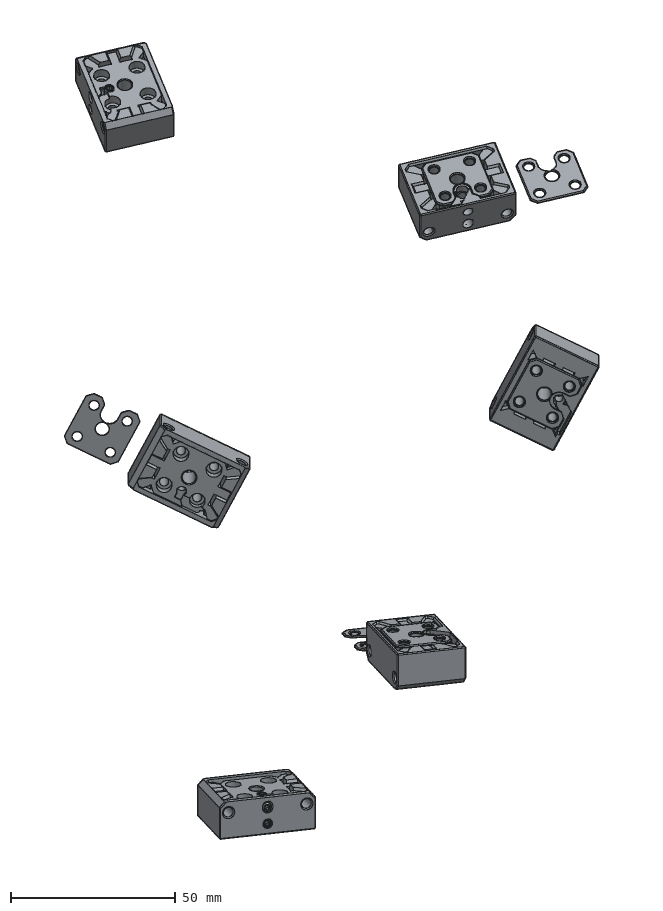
import cadquery as cq
import math

BLOCK_LENGTH = 30.8
BLOCK_WIDTH = 22.0
BLOCK_HEIGHT = 12.0
END_CHAMFER = 1.7
EDGE_CHAMFER = 0.35

RECESS_LENGTH = 27.2
RECESS_WIDTH = 18.8
RECESS_CORNER = 1.2
BOTTOM_RECESS_FLARE = 0.5
PETAL_FLARE = 0.6
TOP_RECESS_DEPTH = 0.9

PETAL_INNER_X = 10.1
RIB_HALF_WIDTH = 1.35
PETAL_SHOULDER_Y = 5.3
PETAL_ROOT_Y = 7.9

CORE_HALF = 9.2
CORE_CORNER = 1.8
CORNER_SLIT_WIDTH = 0.6
CORNER_POCKET_REACH = 11.0
CORNER_POCKET_DEPTH = 3.0

SCREW_PITCH = 11.3
SCREW_CLEARANCE = 2.8
COUNTERBORE_DIAMETER = 4.8
COUNTERBORE_DEPTH = 4.0
CENTRE_DIAMETER = 4.2
HOLE_CHAMFER = 0.3
ROD_DIAMETER = 3.1
ROD_CHAMFER = 0.4
ROD_SPACING = 25.0
ROD_Z = -3.5

BORE_Y = -5.0
BORE_DIAMETER = 2.5
GRUB_DIAMETER = 3.0
GRUB_LENGTH = 3.0
GRUB_SOCKET = 1.4
GRUB_SOCKET_DEPTH = 1.5
GRUB_CHAMFER = 0.4
GRUB_INSET = 0.5
UPPER_HOLE_DIAMETER = 3.25
UPPER_HOLE_RISE = 0.5
UPPER_GRUB_Z = -3.5
LOWER_GRUB_Z = -8.5
LOWER_HOLE_DEPTH = 4.0

TOP_CHANNEL_DEPTH = 1.8
TOP_CHANNEL_SIDE_Y = -5.9
TOP_CHANNEL_BAY_HALF_WIDTH = 1.0
TOP_CHANNEL_BAY_Y = -7.7
TOP_CHANNEL_FLANK_X = 2.4

CHANNEL_WIDTH = 3.5
CHANNEL_ANGLE = 37.5
CHANNEL_DEPTH = 2.5
CHANNEL_WALL_Y = -10.2
CHANNEL_INNER_Y = -8.4
CHANNEL_END_X = 9.8
CHANNEL_EXIT_X = 8.0

PLATE_LENGTH = 2 * CORE_HALF
PLATE_WIDTH = 18.1
PLATE_THICKNESS = 0.6
PLATE_CHAMFER = 0.35
PLATE_HOLE_DIAMETER = 3.1
NOTCH_WIDTH = 5.7
ISLAND_CLEARANCE = 0.3

SECOND_BLOCK_POSITION = (77.54, 81.85, 0)
LOOSE_PLATE_POSITION = (75.3, 112.7, PLATE_THICKNESS)

SCREW_POINTS = [(x * SCREW_PITCH / 2, y * SCREW_PITCH / 2) for x in (-1, 1) for y in (-1, 1)]
QUADRANTS = [(x, y) for x in (-1, 1) for y in (-1, 1)]


def octagon(length, width, corner):
    """Corner points of a rectangle whose four corners are cut at 45 degrees."""
    x, y = length / 2, width / 2
    return [
        (x - corner, y), (x, y - corner), (x, corner - y), (x - corner, -y),
        (corner - x, -y), (-x, corner - y), (-x, y - corner), (corner - x, y),
    ]


def prism(points, depth, top=0.0):
    """Straight-sided solid reaching down from the given height."""
    return cq.Workplane("XY", origin=(0, 0, top)).polyline(points).close().extrude(-depth)


def frustum(lower, upper, depth):
    """Solid between an outline at -depth and a matching outline at Z = 0."""
    wires = [
        cq.Wire.makePolygon([cq.Vector(x, y, z) for x, y in points], close=True)
        for points, z in ((lower, -depth), (upper, 0))
    ]
    return cq.Workplane(cq.Solid.makeLoft(wires, True))


def drill(points, diameter, depth, top=0.0):
    return cq.Workplane("XY", origin=(0, 0, top)).pushPoints(points).circle(diameter / 2).extrude(-depth)


def countersink(points, diameter, chamfer):
    """Chamfer cutter for holes that open at Z = 0."""
    cone = cq.Solid.makeCone(diameter / 2, diameter / 2 + chamfer, chamfer, cq.Vector(0, 0, -chamfer))
    return cq.Workplane("XY").pushPoints(points).eachpoint(lambda place: cone.moved(place))


def notch(clearance, mouth_y):
    """Round-nosed notch around the bore that flares at the plate edge and runs out to mouth_y."""
    half = NOTCH_WIDTH / 2 - clearance
    flare_y = CORE_CORNER - PLATE_WIDTH / 2
    edge_half = half + CORE_CORNER
    return (
        cq.Workplane("XY")
        .moveTo(-half, BORE_Y)
        .threePointArc((0, BORE_Y + half), (half, BORE_Y))
        .lineTo(half, flare_y)
        .lineTo(edge_half, -PLATE_WIDTH / 2)
        .lineTo(edge_half, mouth_y)
        .lineTo(-edge_half, mouth_y)
        .lineTo(-edge_half, -PLATE_WIDTH / 2)
        .lineTo(-half, flare_y)
        .close()
    )


def petal(side_x, side_y, depth):
    """One petal with leaning sides; its root reaches into the end wall."""
    root = RECESS_LENGTH / 2 + PETAL_FLARE

    def outline(inset):
        points = [
            (root, RIB_HALF_WIDTH + inset),
            (PETAL_INNER_X, RIB_HALF_WIDTH + inset),
            (PETAL_INNER_X, PETAL_SHOULDER_Y - inset),
            (root, PETAL_ROOT_Y - inset),
        ]
        return [(side_x * x, side_y * y) for x, y in points]

    return frustum(outline(0), outline(PETAL_FLARE), depth)


def recess(depth, flare):
    """Recess cutter from Z = 0 down to the given depth, with its petals left out."""
    floor = octagon(RECESS_LENGTH, RECESS_WIDTH, RECESS_CORNER)
    rim = octagon(RECESS_LENGTH + 2 * flare, RECESS_WIDTH + 2 * flare, RECESS_CORNER + flare)
    cutter = frustum(floor, rim, depth)
    for side_x, side_y in QUADRANTS:
        cutter = cutter.cut(petal(side_x, side_y, depth))
    return cutter


def cut_slits(body):
    """Slits around the core: one behind each petal and one at each corner, between triangular pockets."""
    edge_y = RECESS_WIDTH / 2
    cut_x = CORE_HALF - CORE_CORNER
    slit_step = CORNER_SLIT_WIDTH * math.sqrt(2)
    bottom_pocket_z = CORNER_POCKET_DEPTH - BLOCK_HEIGHT
    for side_x, side_y in QUADRANTS:
        behind_petal = [
            (CORE_HALF, RIB_HALF_WIDTH), (PETAL_INNER_X, RIB_HALF_WIDTH),
            (PETAL_INNER_X, PETAL_SHOULDER_Y), (CORE_HALF, PETAL_SHOULDER_Y),
        ]
        corner_slit = [
            (CORE_HALF, cut_x), (CORE_HALF, cut_x + slit_step),
            (cut_x + slit_step, edge_y), (cut_x, edge_y),
        ]
        pocket = [(CORE_HALF, cut_x), (CORNER_POCKET_REACH, edge_y), (cut_x, edge_y)]
        for points, depth, top in (
            (behind_petal, BLOCK_HEIGHT, 0),
            (corner_slit, BLOCK_HEIGHT, 0),
            (pocket, CORNER_POCKET_DEPTH, 0),
            (pocket, CORNER_POCKET_DEPTH, bottom_pocket_z),
        ):
            points = [(side_x * x, side_y * y) for x, y in points]
            body = body.cut(prism(points, depth, top))
    return body


def top_channel():
    """Wire channel from the bore to a corner pocket, between two screw counterbores."""
    edge_y = -RECESS_WIDTH / 2
    cut_x = CORE_HALF - CORE_CORNER
    bay = TOP_CHANNEL_BAY_HALF_WIDTH
    return prism([
        (-bay, TOP_CHANNEL_SIDE_Y), (SCREW_PITCH / 2, TOP_CHANNEL_SIDE_Y),
        (CORE_HALF, -cut_x), (CHANNEL_END_X, edge_y),
        (TOP_CHANNEL_FLANK_X, edge_y), (bay, TOP_CHANNEL_BAY_Y), (-bay, TOP_CHANNEL_BAY_Y),
    ], TOP_CHANNEL_DEPTH)


def bottom_channel():
    """Wire channel from the bore slanting to the side wall, then along it to an exit through the block."""
    floor_z = CHANNEL_DEPTH - BLOCK_HEIGHT
    reach = BORE_Y - CHANNEL_WALL_Y
    end_x = reach * math.tan(math.radians(CHANNEL_ANGLE))
    half_mouth = CHANNEL_WIDTH / 2 / math.cos(math.radians(CHANNEL_ANGLE))
    slant = prism([
        (-half_mouth, BORE_Y), (half_mouth, BORE_Y),
        (end_x + half_mouth, CHANNEL_WALL_Y), (end_x - half_mouth, CHANNEL_WALL_Y),
    ], CHANNEL_DEPTH, floor_z)
    along_wall = prism([
        (end_x, CHANNEL_WALL_Y), (CHANNEL_END_X, CHANNEL_WALL_Y),
        (CHANNEL_END_X, CHANNEL_INNER_Y), (end_x, CHANNEL_INNER_Y),
    ], CHANNEL_DEPTH, floor_z)
    exit_y = -RECESS_WIDTH / 2
    wire_exit = prism([
        (CHANNEL_EXIT_X, exit_y), (CHANNEL_END_X, exit_y),
        (CHANNEL_END_X, CHANNEL_INNER_Y), (CHANNEL_EXIT_X, CHANNEL_INNER_Y),
    ], BLOCK_HEIGHT)
    start = drill([(0, BORE_Y)], CHANNEL_WIDTH, CHANNEL_DEPTH, floor_z)
    return slant.union(along_wall).union(start).union(wire_exit)


def front_hole(diameter, depth, z):
    """Round hole into the -Y side, on the centre line."""
    return cq.Workplane("XZ", origin=(0, -BLOCK_WIDTH / 2, z)).circle(diameter / 2).extrude(-depth)


def cut_rod_holes(body):
    """Two cross holes through the whole width, chamfered at both ends."""
    for side in (-1, 1):
        hole = drill([(0, 0)], ROD_DIAMETER, BLOCK_WIDTH)
        hole = hole.union(countersink([(0, 0)], ROD_DIAMETER, ROD_CHAMFER))
        far_end = hole.mirror("XY").translate((0, 0, -BLOCK_WIDTH))
        hole = hole.union(far_end).rotate((0, 0, 0), (1, 0, 0), 90)
        body = body.cut(hole.translate((side * ROD_SPACING / 2, -BLOCK_WIDTH / 2, ROD_Z)))
    return body


def block(plate_depth):
    """Stage block; plate_depth is how far its cover plate is let into the bottom face."""
    body = cq.Workplane("XY").box(BLOCK_LENGTH, BLOCK_WIDTH, BLOCK_HEIGHT, centered=(True, True, False))
    body = body.translate((0, 0, -BLOCK_HEIGHT))
    body = body.faces(">Z").edges("|Y").chamfer(END_CHAMFER)
    body = body.edges("(not >Z) and (not (|Y and (not <Z)))").chamfer(EDGE_CHAMFER)

    body = body.cut(recess(TOP_RECESS_DEPTH, 0))
    if plate_depth:
        cover_seat = recess(plate_depth, BOTTOM_RECESS_FLARE).cut(
            notch(ISLAND_CLEARANCE, -RECESS_WIDTH).extrude(-plate_depth)
        )
        body = body.cut(cover_seat.mirror("XY").translate((0, 0, -BLOCK_HEIGHT)))
    body = cut_slits(body).cut(top_channel()).cut(bottom_channel())

    body = body.cut(drill(SCREW_POINTS, SCREW_CLEARANCE, BLOCK_HEIGHT))
    body = body.cut(drill(SCREW_POINTS, COUNTERBORE_DIAMETER, COUNTERBORE_DEPTH))
    body = body.cut(drill([(0, 0)], CENTRE_DIAMETER, BLOCK_HEIGHT))
    centre_chamfer = countersink([(0, 0)], CENTRE_DIAMETER, HOLE_CHAMFER)
    body = body.cut(centre_chamfer.translate((0, 0, -TOP_RECESS_DEPTH)))
    body = body.cut(drill([(0, BORE_Y)], BORE_DIAMETER, BLOCK_HEIGHT))
    body = body.cut(drill([(0, BORE_Y)], GRUB_DIAMETER, TOP_RECESS_DEPTH + GRUB_LENGTH))

    hole_z = UPPER_GRUB_Z + (UPPER_HOLE_DIAMETER - GRUB_DIAMETER) / 2
    for z in (hole_z, hole_z + UPPER_HOLE_RISE):
        body = body.cut(front_hole(UPPER_HOLE_DIAMETER, BLOCK_WIDTH / 2 + BORE_Y, z))
    body = body.cut(front_hole(GRUB_DIAMETER, LOWER_HOLE_DEPTH, LOWER_GRUB_Z))
    return cut_rod_holes(body)


def plate():
    """Cover plate with its inner face at Z = -PLATE_THICKNESS and its chamfered face at Z = 0."""
    body = prism(octagon(PLATE_LENGTH, PLATE_WIDTH, CORE_CORNER), PLATE_THICKNESS)
    body = body.faces(">Z").edges().chamfer(PLATE_CHAMFER)
    body = body.cut(notch(0, -PLATE_WIDTH).extrude(-PLATE_THICKNESS))
    for points, diameter in ((SCREW_POINTS, PLATE_HOLE_DIAMETER), ([(0, 0)], CENTRE_DIAMETER)):
        body = body.cut(drill(points, diameter, PLATE_THICKNESS))
        body = body.cut(countersink(points, diameter, HOLE_CHAMFER))
    return body


def grub_screw():
    """Headless screw along -Z with its hexagon socket at Z = 0."""
    body = cq.Workplane("XY").circle(GRUB_DIAMETER / 2).extrude(-GRUB_LENGTH).edges().chamfer(GRUB_CHAMFER)
    socket = cq.Workplane("XY").polygon(6, GRUB_SOCKET, circumscribed=True).extrude(-GRUB_SOCKET_DEPTH)
    return body.cut(socket)


def turn_over(body):
    """Turn a body's bottom face up and its bore side towards +X."""
    return body.rotate((0, 0, 0), (1, 0, 0), 180).rotate((0, 0, 0), (0, 0, 1), -90)


first_block = block(0)
bottom_plate = plate().rotate((0, 0, 0), (0, 1, 0), 180)
first_plate = bottom_plate.translate((0, 0, -BLOCK_HEIGHT - PLATE_THICKNESS))

second_block = turn_over(block(PLATE_THICKNESS)).translate(SECOND_BLOCK_POSITION)
second_plate = turn_over(bottom_plate.translate((0, 0, -BLOCK_HEIGHT))).translate(SECOND_BLOCK_POSITION)

loose_plate = plate().rotate((0, 0, 0), (0, 0, 1), -90).translate(LOOSE_PLATE_POSITION)

top_grub = grub_screw().translate((0, BORE_Y, -TOP_RECESS_DEPTH))
front_grubs = [
    grub_screw().rotate((0, 0, 0), (1, 0, 0), 90).translate((0, GRUB_INSET - BLOCK_WIDTH / 2, z))
    for z in (UPPER_GRUB_Z, LOWER_GRUB_Z)
]

result = cq.Compound.makeCompound([
    first_block.val(),
    first_plate.val(),
    second_block.val(),
    second_plate.val(),
    loose_plate.val(),
    top_grub.val(),
    *[grub.val() for grub in front_grubs],
])